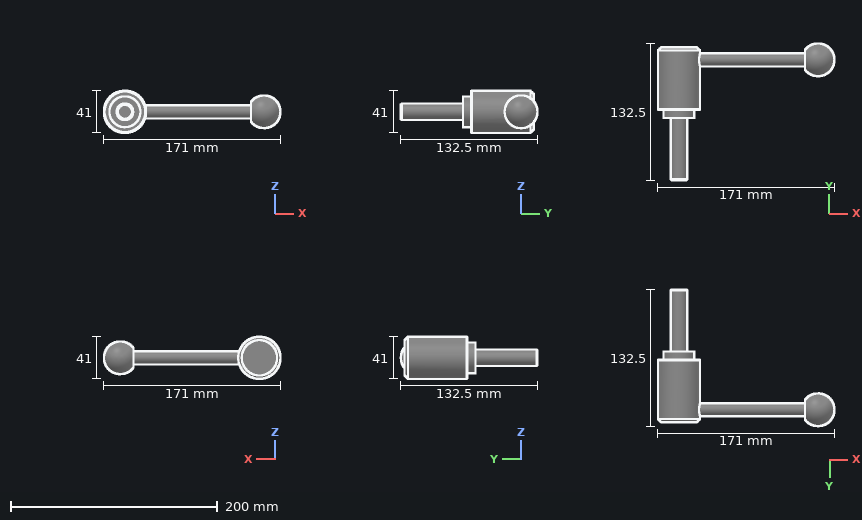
import cadquery as cq
import math

hub_diameter = 41.0
hub_length = 60.9
hub_back_chamfer = 3.5
hub_front_chamfer = 0.9

collar_diameter = 30.0
collar_length = 7.9
stud_diameter = 16.0
stud_length = 60.0
stud_chamfer = 1.2

overall_length = 171.0
rod_diameter = 13.0
rod_inset = 12.3
ball_diameter = 32.0
ball_flat_offset = 12.8

ball_radius = ball_diameter / 2
ball_x = overall_length - hub_diameter / 2 - ball_radius
rod_y = hub_length - rod_inset


def cylinder_towards_front(diameter, length, start_y):
    """Cylinder about the Y axis running from start_y towards -Y."""
    plane = cq.Workplane("XZ", origin=(0, start_y, 0))
    return plane.circle(diameter / 2).extrude(length)


def make_hub():
    hub = cylinder_towards_front(hub_diameter, hub_length, hub_length)
    hub = hub.faces(">Y").chamfer(hub_back_chamfer)
    return hub.faces("<Y").chamfer(hub_front_chamfer)


def make_collar():
    return cylinder_towards_front(collar_diameter, collar_length, 0)


def make_stud():
    stud = cylinder_towards_front(stud_diameter, stud_length, -collar_length)
    return stud.faces("<Y").chamfer(stud_chamfer)


def make_rod():
    plane = cq.Workplane("YZ", origin=(0, rod_y, 0))
    return plane.circle(rod_diameter / 2).extrude(ball_x)


def make_ball():
    """Half profile of the truncated ball, revolved about the rod axis."""
    flat_radius = math.sqrt(ball_radius**2 - ball_flat_offset**2)
    profile = (
        cq.Workplane("XY", origin=(ball_x, rod_y, 0))
        .moveTo(-ball_flat_offset, 0)
        .lineTo(-ball_flat_offset, flat_radius)
        .threePointArc((0, ball_radius), (ball_radius, 0))
        .close()
    )
    return profile.revolve(360, (0, 0), (1, 0))


result = make_hub().union(make_collar()).union(make_stud()).union(make_rod()).union(make_ball())